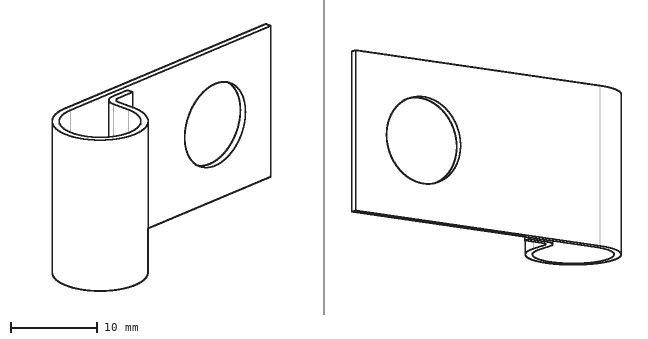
import cadquery as cq

width = 19.05
thickness = 0.85
total_length = 39.7
loop_diameter = 11.15
lip_gap = 0.8
lip_end = 8.9
bend_inner_radius = 0.8
hole_diameter = 10.3
hole_end_distance = 9.5

outer_radius = loop_diameter / 2
inner_radius = outer_radius - thickness
leg_end = total_length - outer_radius
leg_inside = -inner_radius
lip_near = leg_inside + lip_gap
lip_far = lip_near + thickness
bend_outer_radius = bend_inner_radius + thickness
bend_x = lip_far + bend_inner_radius
bend_y = outer_radius + bend_inner_radius
diagonal = 0.5 ** 0.5


def bend_midpoint(radius):
    """Middle of the lip bend, a quarter turn facing -X and -Y."""
    return (bend_x - radius * diagonal, bend_y - radius * diagonal)


def make_strip():
    """Flat leg, three-quarter loop and bent-up lip as one extruded outline."""
    loop_middle = (diagonal, -diagonal)
    outer_middle = tuple(outer_radius * c for c in loop_middle)
    inner_middle = tuple(inner_radius * c for c in loop_middle)
    return (
        cq.Workplane("XY")
        .moveTo(-outer_radius, leg_end)
        .lineTo(-outer_radius, 0)
        .threePointArc(outer_middle, (0, outer_radius))
        .lineTo(bend_x, outer_radius)
        .threePointArc(bend_midpoint(bend_inner_radius), (lip_far, bend_y))
        .lineTo(lip_far, lip_end)
        .lineTo(lip_near, lip_end)
        .lineTo(lip_near, bend_y)
        .threePointArc(bend_midpoint(bend_outer_radius), (bend_x, inner_radius))
        .lineTo(0, inner_radius)
        .threePointArc(inner_middle, (-inner_radius, 0))
        .lineTo(leg_inside, leg_end)
        .close()
        .extrude(width)
    )


def make_hole():
    """Round cutter through the flat leg, centred across the strip width."""
    return (
        cq.Workplane("YZ", origin=(-outer_radius, leg_end - hole_end_distance, width / 2))
        .circle(hole_diameter / 2)
        .extrude(thickness)
    )


result = make_strip().cut(make_hole())